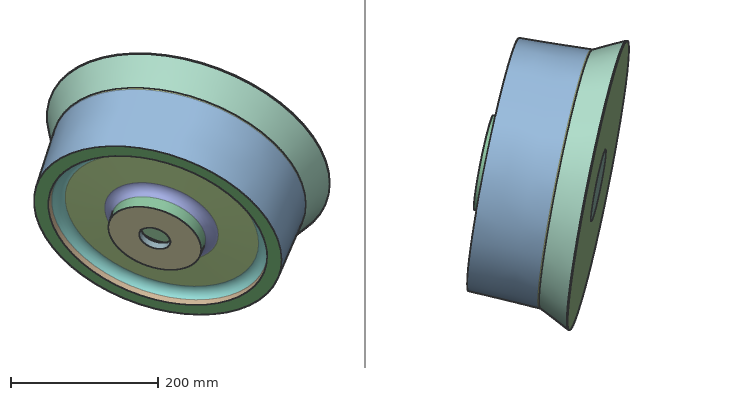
import cadquery as cq
import math


overall_width = 159.0
hub_projection = 14.0
rim_face = overall_width - hub_projection
flange_edge_width = 1.5
flange_root = 44.0
tread_start = 46.5
flange_radius = 200.2
tread_root_radius = 179.5
tread_end_radius = 175.5

rim_inner_radius = 155.0
rim_wall_end_radius = 153.0
rim_wall_depth = 8.0
web_outer_radius = 137.0
web_outer_depth = 18.5
web_inner_radius = 80.5
web_inner_depth = 17.0

hub_radius = 65.5
hub_root_radius = 66.5
hub_wall_depth = 3.5

window_radius = 22.0
hub_end_wall = 11.0
axle_radius = 49.5
axle_end_depth = 26.5
axle_chamfer_radial = 9.5
axle_chamfer_axial = 5.5

MIDPOINT_SHARE = 1 - math.sqrt(0.5)


def quarter_round_middle(wall_end, web_end):
    """Middle of the concave round that joins a wall to the web; points are (radius, Y)."""
    wall_radius, wall_y = wall_end
    web_radius, web_y = web_end
    return (
        wall_radius + (web_radius - wall_radius) * MIDPOINT_SHARE,
        web_y + (wall_y - web_y) * MIDPOINT_SHARE,
    )


def turned(section):
    """Solid of revolution about the Y axis."""
    return section.revolve(360, (0, 0, 0), (0, 1, 0))


def make_wheel():
    rim_wall_end = (rim_wall_end_radius, rim_wall_depth - rim_face)
    web_outer = (web_outer_radius, web_outer_depth - rim_face)
    web_inner = (web_inner_radius, web_inner_depth - rim_face)
    hub_wall_end = (hub_root_radius, hub_wall_depth - rim_face)
    end_wall_back = hub_end_wall - overall_width
    section = (
        cq.Workplane("XY")
        .moveTo(axle_radius, 0)
        .lineTo(flange_radius, 0)
        .lineTo(flange_radius, -flange_edge_width)
        .lineTo(tread_root_radius, -flange_root)
        .lineTo(tread_root_radius, -tread_start)
        .lineTo(tread_end_radius, -rim_face)
        .lineTo(rim_inner_radius, -rim_face)
        .lineTo(*rim_wall_end)
        .threePointArc(quarter_round_middle(rim_wall_end, web_outer), web_outer)
        .lineTo(*web_inner)
        .threePointArc(quarter_round_middle(hub_wall_end, web_inner), hub_wall_end)
        .lineTo(hub_radius, -overall_width)
        .lineTo(window_radius, -overall_width)
        .lineTo(window_radius, end_wall_back)
        .lineTo(axle_radius, end_wall_back)
        .close()
    )
    return turned(section)


def make_axle():
    axle_end = axle_end_depth - overall_width
    section = (
        cq.Workplane("XY")
        .lineTo(axle_radius, 0)
        .lineTo(axle_radius, axle_end + axle_chamfer_axial)
        .lineTo(axle_radius - axle_chamfer_radial, axle_end)
        .lineTo(0, axle_end)
        .close()
    )
    return turned(section)


wheel = make_wheel()
axle = make_axle()

result = cq.Compound.makeCompound([wheel.val(), axle.val()])